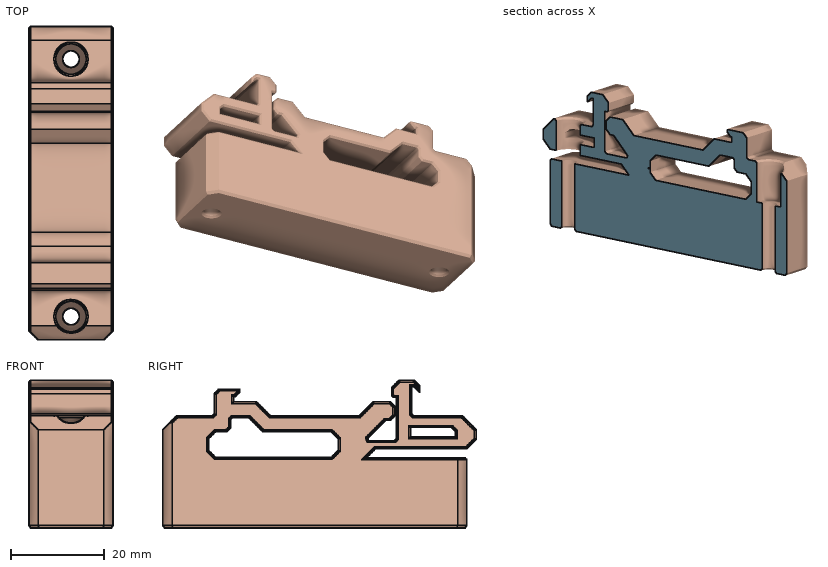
import cadquery as cq
import math

WIDTH = 18.0
HEIGHT = 31.6
BASE_LENGTH = 65.0
ARM_OVERHANG = 2.0
BASE_END = BASE_LENGTH / 2
ARM_TIP = BASE_END + ARM_OVERHANG

DECK_Z = 24.0
BASE_TOP_Z = 15.0
ARM_BOTTOM_Z = 17.0
ARM_FLOOR_Z = 18.7
RAIL_SEAT_Z = 27.0
FIXED_HOOK_Z = 29.7

EDGE_CHAMFER = 0.4
CORNER_CHAMFER = 2.0
END_BEVEL = 3.0
FOOT_HEIGHT = 0.6
FOOT_INSET = 0.4

SCREW_SPACING = 55.0
SCREW_DIAMETER = 3.5
HEAD_DIAMETER = 6.5
HEAD_SEAT_Z = BASE_TOP_Z

DECK_HALF = 9.5
SHOULDER_RISE = RAIL_SEAT_Z - DECK_Z
SHOULDER_EDGE = DECK_HALF + SHOULDER_RISE

HOOK_TIP_Y = -16.0
HOOK_TIP_HEIGHT = 0.6
HOOK_THROAT_Y = -17.3
HOOK_THROAT_Z = 28.1
HOOK_BACK_Y = -21.5
HOOK_BEVEL = 1.0

NOSE_Y = 17.1
NOSE_BEVEL = 1.0
NOSE_BOTTOM_Z = 23.0
NOSE_ROOT_Y = 15.1
GAP_END_Y = 11.3
GAP_END_BEVEL = 0.2

POST_INNER_Y = 17.4
POST_OUTER_Y = 20.7
CATCH_Y = 16.4
CATCH_BEVEL = 1.6
CATCH_BOTTOM_Z = 27.9
LIP_Y = 22.4
LIP_BEVEL = 1.2
LIP_TIP_HEIGHT = 1.4
ROOT_BEVEL = 0.4

ARM_LOWER_BEVEL = 2.0
ARM_ROOT_Y = 11.0
ARM_GAP = ARM_BOTTOM_Z - BASE_TOP_Z

SLOT_INNER_Y = 20.5
SLOT_OUTER_Y = 30.0
SLOT_BOTTOM_Z = 19.5
SLOT_TOP_Z = 21.5
SLOT_BEVEL = 0.8

WINDOW_PLUS_Y = 5.0
WINDOW_MINUS_Y = -22.7
WINDOW_BOTTOM_Z = 15.1
WINDOW_TOP_Z = 20.6
WINDOW_BEVEL = 1.5
RELIEF_TOP_Z = 23.6
RELIEF_PLUS_Y = -11.1
RELIEF_MINUS_Y = -18.0
RELIEF_STEP = 0.8

TOLERANCE = 0.01


def release_post_points():
    """Post from the arm's gap floor up over the catch and the lip, back to the deck."""
    lip_bottom = HEIGHT - LIP_BEVEL - LIP_TIP_HEIGHT
    return [
        (POST_INNER_Y - ROOT_BEVEL, ARM_FLOOR_Z),
        (POST_INNER_Y, ARM_FLOOR_Z + ROOT_BEVEL),
        (POST_INNER_Y, CATCH_BOTTOM_Z),
        (CATCH_Y + ROOT_BEVEL, CATCH_BOTTOM_Z),
        (CATCH_Y, CATCH_BOTTOM_Z + ROOT_BEVEL),
        (CATCH_Y, HEIGHT - CATCH_BEVEL),
        (CATCH_Y + CATCH_BEVEL, HEIGHT),
        (LIP_Y - LIP_BEVEL, HEIGHT),
        (LIP_Y, HEIGHT - LIP_BEVEL),
        (LIP_Y, lip_bottom),
        (LIP_Y - LIP_BEVEL, lip_bottom + LIP_BEVEL),
        (POST_OUTER_Y, lip_bottom + LIP_BEVEL),
        (POST_OUTER_Y, DECK_Z + ROOT_BEVEL),
        (POST_OUTER_Y + ROOT_BEVEL, DECK_Z),
    ]


def fixed_hook_points():
    """Hook from the -Y rail shoulder over its tip and back down to the deck."""
    tip_bottom = FIXED_HOOK_Z - HOOK_TIP_HEIGHT
    tip_slope = tip_bottom - HOOK_THROAT_Z
    return [
        (HOOK_THROAT_Y, RAIL_SEAT_Z),
        (HOOK_THROAT_Y, HOOK_THROAT_Z),
        (HOOK_TIP_Y - tip_slope, HOOK_THROAT_Z),
        (HOOK_TIP_Y, tip_bottom),
        (HOOK_TIP_Y, FIXED_HOOK_Z),
        (HOOK_BACK_Y + HOOK_BEVEL, FIXED_HOOK_Z),
        (HOOK_BACK_Y, FIXED_HOOK_Z - HOOK_BEVEL),
        (HOOK_BACK_Y, DECK_Z + ROOT_BEVEL),
        (HOOK_BACK_Y - ROOT_BEVEL, DECK_Z),
    ]


def side_profile_points():
    """Closed (Y, Z) outline of the part above its foot, going round from the -Y bottom corner."""
    base = [
        (-BASE_END, FOOT_HEIGHT),
        (BASE_END, FOOT_HEIGHT),
        (BASE_END, BASE_TOP_Z),
        (ARM_ROOT_Y, BASE_TOP_Z),
    ]
    arm = [
        (ARM_ROOT_Y + ARM_GAP, ARM_BOTTOM_Z),
        (ARM_TIP - ARM_LOWER_BEVEL, ARM_BOTTOM_Z),
        (ARM_TIP, ARM_BOTTOM_Z + ARM_LOWER_BEVEL),
        (ARM_TIP, DECK_Z - END_BEVEL),
        (ARM_TIP - END_BEVEL, DECK_Z),
    ]
    gap_rise = NOSE_ROOT_Y - GAP_END_Y
    nose = [
        (GAP_END_Y + GAP_END_BEVEL, ARM_FLOOR_Z),
        (GAP_END_Y, NOSE_BOTTOM_Z - gap_rise),
        (NOSE_ROOT_Y, NOSE_BOTTOM_Z),
        (NOSE_Y - NOSE_BEVEL, NOSE_BOTTOM_Z),
        (NOSE_Y, NOSE_BOTTOM_Z + NOSE_BEVEL),
        (NOSE_Y, RAIL_SEAT_Z - NOSE_BEVEL),
        (NOSE_Y - NOSE_BEVEL, RAIL_SEAT_Z),
    ]
    deck = [
        (SHOULDER_EDGE, RAIL_SEAT_Z),
        (DECK_HALF, DECK_Z),
        (-DECK_HALF, DECK_Z),
        (-SHOULDER_EDGE, RAIL_SEAT_Z),
    ]
    end = [
        (-BASE_END + END_BEVEL, DECK_Z),
        (-BASE_END, DECK_Z - END_BEVEL),
    ]
    post = list(reversed(release_post_points()))
    return base + arm + post + nose + deck + fixed_hook_points() + end


def arm_slot_points():
    """Closed (Y, Z) outline of the window through the spring arm."""
    return [
        (SLOT_INNER_Y, SLOT_BOTTOM_Z),
        (SLOT_OUTER_Y, SLOT_BOTTOM_Z),
        (SLOT_OUTER_Y, SLOT_TOP_Z - SLOT_BEVEL),
        (SLOT_OUTER_Y - SLOT_BEVEL, SLOT_TOP_Z),
        (SLOT_INNER_Y, SLOT_TOP_Z),
    ]


def base_window_points():
    """Closed (Y, Z) outline of the large window, with its relief under the fixed hook."""
    relief_rise = RELIEF_TOP_Z - WINDOW_TOP_Z
    return [
        (WINDOW_PLUS_Y - WINDOW_BEVEL, WINDOW_BOTTOM_Z),
        (WINDOW_PLUS_Y, WINDOW_BOTTOM_Z + WINDOW_BEVEL),
        (WINDOW_PLUS_Y, WINDOW_TOP_Z - WINDOW_BEVEL),
        (WINDOW_PLUS_Y - WINDOW_BEVEL, WINDOW_TOP_Z),
        (RELIEF_PLUS_Y, WINDOW_TOP_Z),
        (RELIEF_PLUS_Y - relief_rise, RELIEF_TOP_Z),
        (RELIEF_MINUS_Y + ROOT_BEVEL, RELIEF_TOP_Z),
        (RELIEF_MINUS_Y, RELIEF_TOP_Z - ROOT_BEVEL),
        (RELIEF_MINUS_Y, WINDOW_TOP_Z + RELIEF_STEP),
        (RELIEF_MINUS_Y - RELIEF_STEP, WINDOW_TOP_Z),
        (WINDOW_MINUS_Y + WINDOW_BEVEL, WINDOW_TOP_Z),
        (WINDOW_MINUS_Y, WINDOW_TOP_Z - WINDOW_BEVEL),
        (WINDOW_MINUS_Y, WINDOW_BOTTOM_Z + WINDOW_BEVEL),
        (WINDOW_MINUS_Y + WINDOW_BEVEL, WINDOW_BOTTOM_Z),
    ]


def across_width(points):
    """Prism of a (Y, Z) outline over the whole width, centred on X = 0."""
    return cq.Workplane("YZ").polyline(points).close().extrude(WIDTH / 2, both=True)


def needs_edge_chamfer(edge):
    """True for side-face edges above the foot and for the +Y rim of the base top."""
    center = edge.Center()
    box = edge.BoundingBox()
    if center.z < FOOT_HEIGHT + TOLERANCE:
        return False
    on_side = box.xmin > WIDTH / 2 - TOLERANCE or box.xmax < TOLERANCE - WIDTH / 2
    if on_side:
        base_corner = box.ylen < TOLERANCE and abs(center.y) > BASE_END - CORNER_CHAMFER - TOLERANCE
        return not base_corner or center.y > BASE_END
    at_base_top = box.zlen < TOLERANCE and abs(center.z - BASE_TOP_Z) < TOLERANCE
    return at_base_top and center.y > BASE_END - CORNER_CHAMFER


def chamfered_body():
    """Profile prism with both windows, bevelled base corners and broken side edges."""
    body = across_width(side_profile_points())
    body = body.cut(across_width(arm_slot_points()))
    body = body.cut(across_width(base_window_points()))
    corners = [e for e in body.edges("|Z").vals() if abs(abs(e.Center().y) - BASE_END) < TOLERANCE]
    body = body.newObject(corners).chamfer(CORNER_CHAMFER)
    rims = [e for e in body.edges().vals() if needs_edge_chamfer(e)]
    return body.newObject(rims).chamfer(EDGE_CHAMFER)


def tapered_foot():
    """Slab below the body whose walls draw in towards the bottom."""
    taper = math.degrees(math.atan2(FOOT_INSET, FOOT_HEIGHT))
    plan = cq.Sketch().rect(WIDTH, BASE_LENGTH).vertices().chamfer(CORNER_CHAMFER)
    return cq.Workplane("XY", origin=(0, 0, FOOT_HEIGHT)).placeSketch(plan).extrude(-FOOT_HEIGHT, taper=taper)


def screw_hole_cutter(y):
    """Through hole, head bore and the bevelled bottom rim, revolved about the screw axis."""
    screw_radius = SCREW_DIAMETER / 2
    head_radius = HEAD_DIAMETER / 2
    half_section = [
        (0, 0),
        (screw_radius + EDGE_CHAMFER, 0),
        (screw_radius, EDGE_CHAMFER),
        (screw_radius, HEAD_SEAT_Z),
        (head_radius, HEAD_SEAT_Z),
        (head_radius, DECK_Z),
        (0, DECK_Z),
    ]
    cutter = cq.Workplane("XZ").polyline(half_section).close().revolve(360, (0, 0), (0, 1))
    return cutter.translate((0, y, 0))


def is_head_bore_rim(edge):
    """True for the curved edges where a head bore opens on top, above the arm window."""
    return edge.geomType() in ("CIRCLE", "ELLIPSE") and edge.Center().z > SLOT_TOP_Z + EDGE_CHAMFER


result = chamfered_body().union(tapered_foot())
for screw_y in (-SCREW_SPACING / 2, SCREW_SPACING / 2):
    result = result.cut(screw_hole_cutter(screw_y))
bore_rims = [edge for edge in result.edges().vals() if is_head_bore_rim(edge)]
result = result.newObject(bore_rims).chamfer(EDGE_CHAMFER)